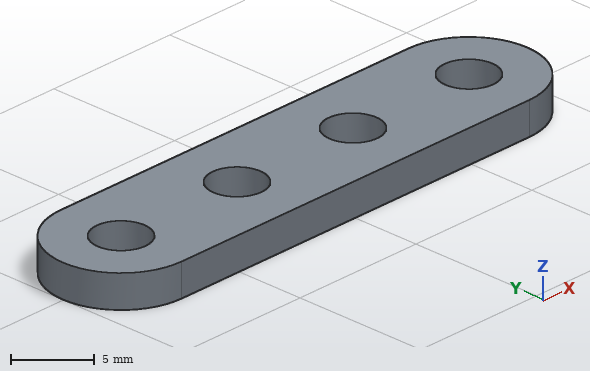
import cadquery as cq

length = 40.0
width = 10.0
thickness = 2.5
hole_diameter = 4.0
hole_count = 4

hole_pitch = (length - width) / (hole_count - 1)

link = cq.Workplane("XY").slot2D(length, width).extrude(thickness)

result = (
    link.faces(">Z")
    .workplane(origin=(0, 0, thickness))
    .rarray(hole_pitch, width, hole_count, 1)
    .hole(hole_diameter)
)